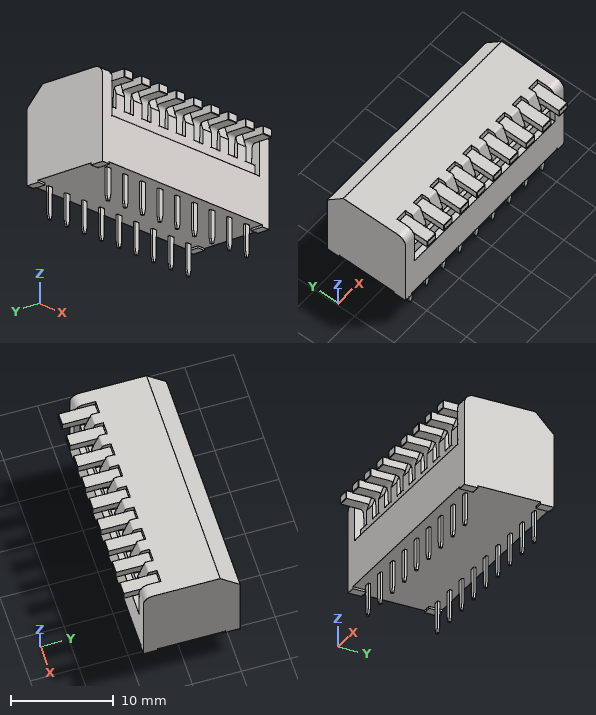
import cadquery as cq


LENGTH = 24.42
DEPTH = 9.9
HEIGHT = 10.18
BACK_CHAMFER = 2.05
FRONT_RADIUS = 1.03
FOOT_LENGTH = 1.0
FOOT_DEPTH = 1.5
FOOT_HEIGHT = 0.22

COUNT = 9
PITCH = 2.55
POSITIONS = [(i - (COUNT - 1) / 2) * PITCH for i in range(COUNT)]

SLOT_WIDTH = 1.3
WINDOW_LENGTH = (COUNT - 1) * PITCH + SLOT_WIDTH
WINDOW_BOTTOM = HEIGHT - 4.98
WINDOW_DEPTH = 0.63
SLOPE_BOTTOM = HEIGHT - 2.12
SLOPE_TOP_DEPTH = 1.37
WINDOW_EDGE_RADIUS = 0.25

SLOT_BOTTOM = HEIGHT - 3.66
SLOT_DEPTH = 2.22

REACH = 1.6
LEVER_TOP = HEIGHT - 0.46
LEVER_THICKNESS = 0.88
LEVER_BACK_RADIUS = 0.32
LEVER_EDGE_CHAMFER = 0.05
ROCKER_TOP_DEPTH = 0.95
ROCKER_BOTTOM_DEPTH = 1.07
ROCKER_FILLET = 0.42

PIN_WIDTH = 0.59
PIN_THICKNESS = 0.25
PIN_LENGTH = 3.22
PIN_TIP_WIDTH = 0.25
PIN_TIP_LENGTH = 0.65
PIN_ROW_SPACING = 3 * PITCH


def extrude_along_row(outline, length, x_center=0):
    """Extrude a closed YZ outline by length, centred on x_center."""
    return outline.extrude(length / 2, both=True).translate((x_center, 0, 0))


def make_housing():
    body = cq.Workplane("XY").box(LENGTH, DEPTH, HEIGHT, centered=(True, False, False))
    body = body.edges(">Y and >Z").chamfer(BACK_CHAMFER)
    body = body.edges("<Y and >Z").fillet(FRONT_RADIUS)

    lengthwise = cq.Workplane("XY").box(
        LENGTH, DEPTH - 2 * FOOT_DEPTH, FOOT_HEIGHT, centered=(True, True, False)
    )
    crosswise = cq.Workplane("XY").box(
        LENGTH - 2 * FOOT_LENGTH, DEPTH, FOOT_HEIGHT, centered=(True, True, False)
    )
    return body.cut(lengthwise.union(crosswise).translate((0, DEPTH / 2, 0)))


def make_window():
    """Window cutter with a flat floor, a low upright wall and a wall sloping back to the top."""
    outline = (
        cq.Workplane("YZ")
        .moveTo(0, WINDOW_BOTTOM)
        .lineTo(WINDOW_DEPTH, WINDOW_BOTTOM)
        .lineTo(WINDOW_DEPTH, SLOPE_BOTTOM)
        .lineTo(SLOPE_TOP_DEPTH, HEIGHT)
        .lineTo(0, HEIGHT)
        .close()
    )
    return extrude_along_row(outline, WINDOW_LENGTH)


def round_window_edge(housing):
    """Round the long edge where the sloped window wall meets the top."""
    edge_point = (0, SLOPE_TOP_DEPTH, HEIGHT)
    return housing.edges(cq.selectors.NearestToPointSelector(edge_point)).fillet(WINDOW_EDGE_RADIUS)


def make_slot(x):
    slot = cq.Workplane("XY").box(
        SLOT_WIDTH, SLOT_DEPTH, HEIGHT - SLOT_BOTTOM, centered=(True, False, False)
    )
    return slot.translate((x, 0, SLOT_BOTTOM))


def make_lever(x):
    """Lever bar with the rocker that fills the back of its slot."""
    lever_bottom = LEVER_TOP - LEVER_THICKNESS
    outline = (
        cq.Workplane("YZ")
        .moveTo(-REACH, LEVER_TOP)
        .lineTo(-REACH, lever_bottom)
        .lineTo(ROCKER_TOP_DEPTH, lever_bottom)
        .lineTo(ROCKER_BOTTOM_DEPTH, SLOT_BOTTOM)
        .lineTo(SLOT_DEPTH, SLOT_BOTTOM)
        .lineTo(SLOT_DEPTH, LEVER_TOP)
        .close()
    )
    lever = extrude_along_row(outline, SLOT_WIDTH, x)
    inner_corner = (x, ROCKER_TOP_DEPTH, lever_bottom)
    lever = lever.edges(cq.selectors.NearestToPointSelector(inner_corner)).fillet(ROCKER_FILLET)
    lever = lever.edges(">Y and >Z").fillet(LEVER_BACK_RADIUS)
    return lever.faces("<Y").edges().chamfer(LEVER_EDGE_CHAMFER)


def make_pin(x, y):
    tip_start = PIN_TIP_LENGTH - PIN_LENGTH
    return (
        cq.Workplane("XZ")
        .moveTo(-PIN_WIDTH / 2, FOOT_HEIGHT)
        .lineTo(-PIN_WIDTH / 2, tip_start)
        .lineTo(-PIN_TIP_WIDTH / 2, -PIN_LENGTH)
        .lineTo(PIN_TIP_WIDTH / 2, -PIN_LENGTH)
        .lineTo(PIN_WIDTH / 2, tip_start)
        .lineTo(PIN_WIDTH / 2, FOOT_HEIGHT)
        .close()
        .extrude(PIN_THICKNESS / 2, both=True)
        .translate((x, y, 0))
    )


result = round_window_edge(make_housing().cut(make_window()))

for position in POSITIONS:
    result = result.cut(make_slot(position)).union(make_lever(position))
    for side in (-1, 1):
        result = result.union(make_pin(position, DEPTH / 2 + side * PIN_ROW_SPACING / 2))